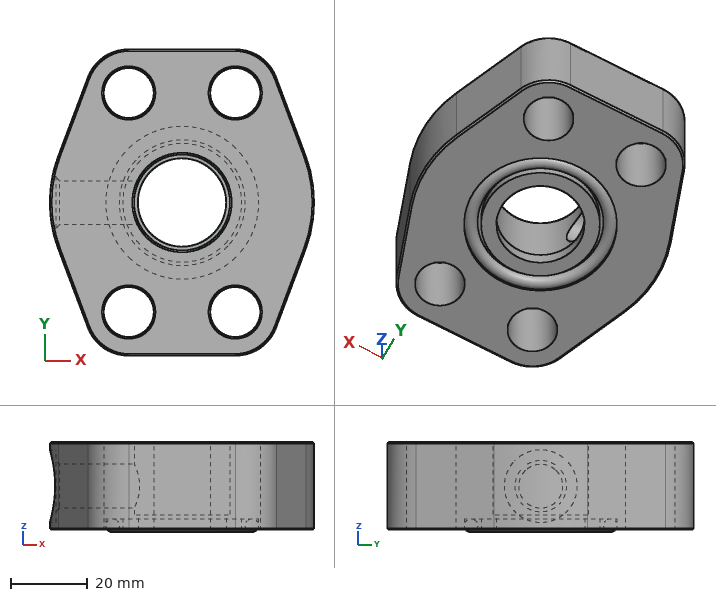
import cadquery as cq
import math

plate_height = 23.0
plate_length = 80.0
side_radius = 34.5
edge_chamfer = 0.5

bolt_spacing_x = 27.8
bolt_spacing_y = 57.15
bolt_diameter = 13.0
bolt_chamfer = 0.5
corner_radius = (plate_length - bolt_spacing_y) / 2

bore_diameter = 25.0
throat_diameter = 23.0
throat_length = 4.0
bore_chamfer = 0.5

port_diameter = 11.45
port_chamfer = 1.0
spotface_diameter = 19.0
spotface_depth = 1.5

ring_section = 3.53
ring_outer_diameter = 39.9
ring_protrusion = 0.57
groove_inner_diameter = 31.01
groove_depth = ring_section - ring_protrusion


def plate_outline():
    """Six-sided outline whose four corner arcs blend tangentially into two large side arcs."""
    corner_x = bolt_spacing_x / 2
    corner_y = bolt_spacing_y / 2
    corner_distance = math.hypot(corner_x, corner_y)
    tangent_angle = math.atan2(corner_y, corner_x) - math.acos(
        (side_radius - corner_radius) / corner_distance
    )
    middle_angle = (tangent_angle + math.pi / 2) / 2

    def side_point(sx, sy):
        return (
            sx * side_radius * math.cos(tangent_angle),
            sy * side_radius * math.sin(tangent_angle),
        )

    def corner_point(sx, sy, angle):
        return (
            sx * (corner_x + corner_radius * math.cos(angle)),
            sy * (corner_y + corner_radius * math.sin(angle)),
        )

    outline = cq.Workplane("XY").moveTo(*side_point(1, -1))
    for side in (1, -1):
        outline = (
            outline.threePointArc((side * side_radius, 0), side_point(side, side))
            .lineTo(*corner_point(side, side, tangent_angle))
            .threePointArc(
                corner_point(side, side, middle_angle),
                corner_point(side, side, math.pi / 2),
            )
            .lineTo(*corner_point(-side, side, math.pi / 2))
            .threePointArc(
                corner_point(-side, side, middle_angle),
                corner_point(-side, side, tangent_angle),
            )
            .lineTo(*side_point(-side, side))
        )
    return outline.close()


def vertical_cone(large_diameter, depth):
    """45 degree countersink cutter that narrows downward from the top face."""
    radius = large_diameter / 2
    return cq.Solid.makeCone(
        radius - depth, radius, depth, cq.Vector(0, 0, plate_height - depth)
    )


def bolt_hole_cutter():
    hole = cq.Workplane("XY").circle(bolt_diameter / 2).extrude(plate_height)
    return hole.union(vertical_cone(bolt_diameter + 2 * bolt_chamfer, bolt_chamfer))


def main_bore_cutter():
    throat = cq.Workplane("XY").circle(throat_diameter / 2).extrude(plate_height)
    bore = (
        cq.Workplane("XY", origin=(0, 0, throat_length))
        .circle(bore_diameter / 2)
        .extrude(plate_height - throat_length)
    )
    entry = vertical_cone(bore_diameter + 2 * bore_chamfer, bore_chamfer)
    return throat.union(bore).union(entry)


def side_port_cutter():
    """Spotface, chamfer and drilled hole running along X into the main bore."""
    floor_x = -side_radius + spotface_depth
    port_z = plate_height / 2
    inward = cq.Vector(1, 0, 0)
    spotface = cq.Solid.makeCylinder(
        spotface_diameter / 2, spotface_depth, cq.Vector(-side_radius, 0, port_z), inward
    )
    chamfer = cq.Solid.makeCone(
        port_diameter / 2 + port_chamfer,
        port_diameter / 2,
        port_chamfer,
        cq.Vector(floor_x, 0, port_z),
        inward,
    )
    hole = cq.Solid.makeCylinder(
        port_diameter / 2, -floor_x, cq.Vector(floor_x, 0, port_z), inward
    )
    return cq.Workplane(spotface).union(chamfer).union(hole)


def groove_cutter():
    return (
        cq.Workplane("XY")
        .circle(ring_outer_diameter / 2)
        .circle(groove_inner_diameter / 2)
        .extrude(groove_depth)
    )


def make_flange():
    body = plate_outline().extrude(plate_height)
    body = body.faces("<Z or >Z").edges().chamfer(edge_chamfer)
    for sx in (1, -1):
        for sy in (1, -1):
            center = (sx * bolt_spacing_x / 2, sy * bolt_spacing_y / 2, 0)
            body = body.cut(bolt_hole_cutter().translate(center))
    return body.cut(main_bore_cutter()).cut(side_port_cutter()).cut(groove_cutter())


def make_o_ring():
    """O-ring seated on the groove floor and against its outer wall, standing proud below."""
    section_radius = ring_section / 2
    center_radius = ring_outer_diameter / 2 - section_radius
    return cq.Workplane(
        cq.Solid.makeTorus(
            center_radius, section_radius, cq.Vector(0, 0, groove_depth - section_radius)
        )
    )


flange = make_flange()
o_ring = make_o_ring()

result = cq.Compound.makeCompound([flange.solids().val(), o_ring.val()])